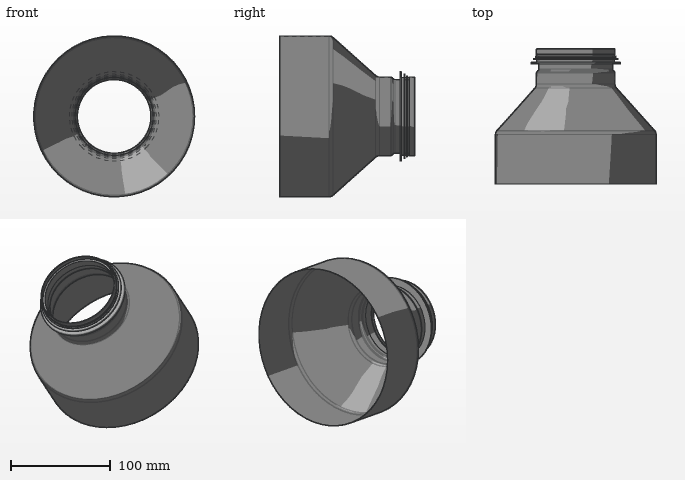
import cadquery as cq
import math

LENGTH = 135.5
WALL = 0.5

MOUTH_RADIUS = 161.3 / 2
NECK_RADIUS = 79.0 / 2
GROOVE_RADIUS = 74.2 / 2

CONE_WIDE_Y = 52.0
CONE_NARROW_Y = 97.9
RAMP_NECK_Y = 112.0
RAMP_GROOVE_Y = 114.7
GROOVE_END_Y = 129.5

CONE_BEND = 5.8
RAMP_NECK_BEND = 2.1
RAMP_GROOVE_BEND = 1.6
RIM_BEND = 1.0

RIM_OPENING_RADIUS = 38.4

SEAL_RADIUS = 78.0 / 2
SEAL_START_Y = 120.3
BEAD_RADIUS = 0.6
BEAD_TIP_RADIUS = 40.5
BEAD_Y = 127.5
SMALL_LIP_RADIUS = 84.5 / 2
SMALL_LIP_Y = 124.7
SMALL_LIP_THICKNESS = 1.0
LARGE_LIP_RADIUS = 89.5 / 2
LARGE_LIP_THICKNESS = 1.6
LIP_ROUNDING = 0.5


def heading(start, end):
    """Unit direction from one (radius, y) point to another."""
    span = cq.Vector(end[0] - start[0], end[1] - start[1])
    return span.normalized()


def inner_corners(corners):
    """Shift a path of (radius, y, bend) corners to its left by the wall thickness."""
    shifted = []
    last = len(corners) - 1
    for i, (radius, y, bend) in enumerate(corners):
        before = heading(corners[max(i - 1, 0)], corners[max(i, 1)])
        after = heading(corners[min(i, last - 1)], corners[min(i + 1, last)])
        normals = cq.Vector(-before.y - after.y, before.x + after.x)
        mitre = normals * (WALL / (1 + before.dot(after)))
        turn = before.cross(after).z
        inner_bend = bend - math.copysign(WALL, turn) if bend else 0
        shifted.append((radius + mitre.x, y + mitre.y, inner_bend))
    return shifted


def draw_path(sketch, corners):
    """Continue a sketch from the first corner to the last, replacing each bend by a tangent arc."""
    for previous, corner, following in zip(corners, corners[1:], corners[2:]):
        radius, y, bend = corner
        if not bend:
            sketch = sketch.lineTo(radius, y)
            continue
        tip = cq.Vector(radius, y)
        before = heading(previous, corner)
        after = heading(corner, following)
        half_turn = before.getAngle(after) / 2
        setback = bend * math.tan(half_turn)
        arc_start = tip - before * setback
        arc_end = tip + after * setback
        sagitta = bend * (1 / math.cos(half_turn) - 1)
        arc_middle = tip + (after - before).normalized() * sagitta
        sketch = sketch.lineTo(arc_start.x, arc_start.y)
        sketch = sketch.threePointArc((arc_middle.x, arc_middle.y), (arc_end.x, arc_end.y))
    return sketch.lineTo(*corners[-1][:2])


def revolve_about_y(sketch):
    return sketch.close().revolve(360, (0, 0, 0), (0, 1, 0))


def make_reducer():
    outer = [
        (MOUTH_RADIUS, 0, 0),
        (MOUTH_RADIUS, CONE_WIDE_Y, CONE_BEND),
        (NECK_RADIUS, CONE_NARROW_Y, CONE_BEND),
        (NECK_RADIUS, RAMP_NECK_Y, RAMP_NECK_BEND),
        (GROOVE_RADIUS, RAMP_GROOVE_Y, RAMP_GROOVE_BEND),
        (GROOVE_RADIUS, GROOVE_END_Y, 0),
        (NECK_RADIUS, GROOVE_END_Y, 0),
        (NECK_RADIUS, LENGTH, RIM_BEND),
        (RIM_OPENING_RADIUS, LENGTH, 0),
    ]
    sketch = draw_path(cq.Workplane("XY").moveTo(*outer[0][:2]), outer)
    inner = inner_corners(outer)[::-1]
    sketch = draw_path(sketch.lineTo(*inner[0][:2]), inner)
    return revolve_about_y(sketch)


def draw_lip(sketch, start_y, thickness, tip_radius):
    """Flat lip whose tip is rounded on its neck-end side."""
    end_y = start_y + thickness
    corners = [
        (SEAL_RADIUS, start_y, 0),
        (tip_radius, start_y, 0),
        (tip_radius, end_y, LIP_ROUNDING),
        (SEAL_RADIUS, end_y, 0),
    ]
    return draw_path(sketch.lineTo(*corners[0][:2]), corners)


def draw_bead(sketch):
    """Low ring with a half-round crest."""
    crest_base = BEAD_TIP_RADIUS - BEAD_RADIUS
    start_y = BEAD_Y - BEAD_RADIUS
    end_y = BEAD_Y + BEAD_RADIUS
    sketch = sketch.lineTo(SEAL_RADIUS, start_y).lineTo(crest_base, start_y)
    sketch = sketch.threePointArc((BEAD_TIP_RADIUS, BEAD_Y), (crest_base, end_y))
    return sketch.lineTo(SEAL_RADIUS, end_y)


def make_seal():
    sketch = cq.Workplane("XY").moveTo(GROOVE_RADIUS, SEAL_START_Y)
    sketch = draw_lip(sketch, SEAL_START_Y, LARGE_LIP_THICKNESS, LARGE_LIP_RADIUS)
    sketch = draw_lip(sketch, SMALL_LIP_Y, SMALL_LIP_THICKNESS, SMALL_LIP_RADIUS)
    sketch = draw_bead(sketch)
    sketch = sketch.lineTo(SEAL_RADIUS, GROOVE_END_Y).lineTo(GROOVE_RADIUS, GROOVE_END_Y)
    return revolve_about_y(sketch)


reducer = make_reducer()
seal = make_seal()
result = cq.Compound.makeCompound([reducer.val(), seal.val()])